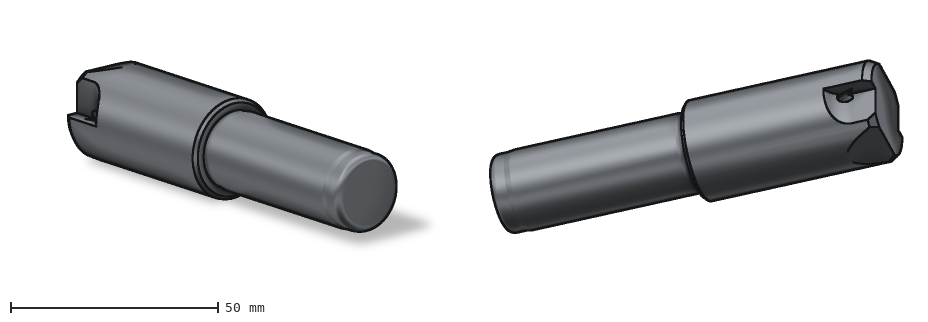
import cadquery as cq
import math

total_length = 98.4
head_diameter = 25.0
shank_diameter = 20.0
relief_diameter = 19.5

nose_chamfer_length = 2.0
nose_chamfer_depth = 1.2
head_length = 48.5
head_rear_chamfer = 0.9
neck_length = 1.0
neck_taper_length = 1.0
pilot_length = 4.1
pilot_taper_length = 1.5
end_round = 1.8

flat_height_at_nose = 9.8
flat_angle = 15.0

pocket_wall_offset = 8.5
pocket_straight_length = 6.0
pocket_radius = 6.3

coolant_diameter = 2.5
coolant_opening = (7.8, -8.9, 1.1)
coolant_angle = 25.0
coolant_dip = 2.5
coolant_depth = 9.8
coolant_exit = 5.9

head_radius = head_diameter / 2
shank_radius = shank_diameter / 2
relief_radius = relief_diameter / 2


def make_body():
    """Revolve the head, neck and shank about the tool axis."""
    neck_end = head_length + neck_length
    pilot_start = total_length - pilot_length
    arc_offset = end_round * math.sin(math.radians(45))
    arc_middle = (
        total_length - end_round + arc_offset,
        relief_radius - end_round + arc_offset,
    )
    return (
        cq.Workplane("XY")
        .lineTo(0, head_radius - nose_chamfer_depth)
        .lineTo(nose_chamfer_length, head_radius)
        .lineTo(head_length - head_rear_chamfer, head_radius)
        .lineTo(head_length, head_radius - head_rear_chamfer)
        .lineTo(head_length, relief_radius)
        .lineTo(neck_end, relief_radius)
        .lineTo(neck_end + neck_taper_length, shank_radius)
        .lineTo(pilot_start - pilot_taper_length, shank_radius)
        .lineTo(pilot_start, relief_radius)
        .lineTo(total_length - end_round, relief_radius)
        .threePointArc(arc_middle, (total_length, relief_radius - end_round))
        .lineTo(total_length, 0)
        .close()
        .revolve(360, (0, 0, 0), (1, 0, 0))
    )


def make_flat_cutter():
    """Wedge above the upper sloping flat."""
    rise = head_radius - flat_height_at_nose
    flat_length = rise / math.tan(math.radians(flat_angle))
    return (
        cq.Workplane("XZ")
        .moveTo(0, flat_height_at_nose)
        .lineTo(flat_length, head_radius)
        .lineTo(0, head_radius)
        .close()
        .extrude(head_radius, both=True)
    )


def make_pocket_cutter():
    """Straight slot with a rounded inner end, on the -Y side above the mid plane."""
    center_y = -pocket_wall_offset - pocket_radius
    slot = (
        cq.Workplane("XY")
        .moveTo(0, -pocket_wall_offset)
        .lineTo(pocket_straight_length, -pocket_wall_offset)
        .radiusArc((pocket_straight_length + pocket_radius, center_y), pocket_radius)
        .lineTo(0, center_y)
        .close()
    )
    return slot.extrude(head_radius)


def make_coolant_cutter():
    """Slanted hole running backward and inward from the pocket."""
    turn = math.radians(coolant_angle)
    dip = math.radians(coolant_dip)
    direction = cq.Vector(
        math.cos(dip) * math.cos(turn),
        math.cos(dip) * math.sin(turn),
        -math.sin(dip),
    )
    start = cq.Vector(*coolant_opening) - direction * coolant_exit
    hole = cq.Solid.makeCylinder(
        coolant_diameter / 2, coolant_exit + coolant_depth, start, direction
    )
    return cq.Workplane(obj=hole)


result = make_body()
for cutter in (make_flat_cutter(), make_pocket_cutter(), make_coolant_cutter()):
    for turn_angle in (0, 180):
        result = result.cut(cutter.rotate((0, 0, 0), (1, 0, 0), turn_angle))